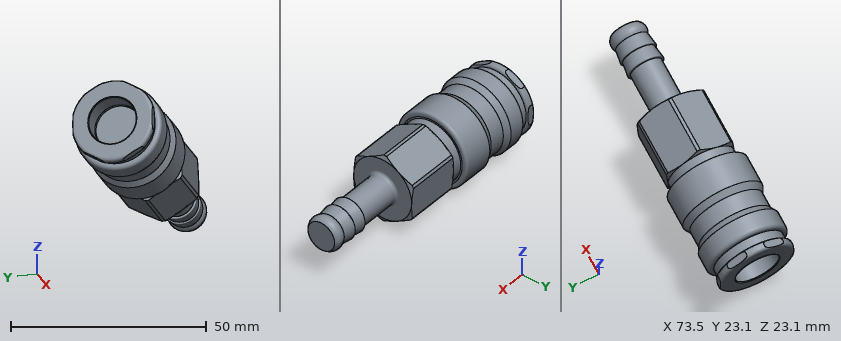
import cadquery as cq
import math

total_length = 73.5
core_diameter = 20.0

collar_length = 2.5
collar_diameter = 21.9
collar_fillet = 0.9
collar_across_flats = 21.0

sleeve_start = 5.1
sleeve_end = 28.5
sleeve_diameter = 23.15
waist_diameter = 21.0
front_band_end = 10.6
waist_start = 12.4
waist_end = 17.35
rear_band_start = 19.25
sleeve_front_fillet = 1.1
sleeve_rear_fillet = 0.8

neck_diameter = 18.95
hex_start = 31.45
hex_end = 48.5
hex_across_flats = 19.0
hex_corner_diameter = 21.45
hex_turn = -2.1
hex_chamfer_length = 0.5

tube_diameter = 9.1
tube_root_fillet = 0.9
barb_diameter = 10.45
barb_shoulder_fillet = 0.2
barb_root_diameter = 9.4
first_barb_start = 62.0
barb_pitch = 4.0
barb_count = 2
bulb_crest_position = 71.65
barb_tip_diameter = 8.75

bore_diameter = 12.6
bore_mouth_chamfer = 0.2
bore_depth = 6.0
floor_diameter = 12.1
floor_cone_length = 0.4


def revolve_about_x(profile):
    return profile.close().revolve(360, (0, 0, 0), (1, 0, 0))


def add_fillet(profile, start, end, corner):
    """Quarter arc from `start` to `end`, the tangent points either side of a square `corner`."""
    inset = 1 - math.sqrt(0.5)
    middle = tuple(c + inset * (s + e - 2 * c) for c, s, e in zip(corner, start, end))
    return profile.lineTo(*start).threePointArc(middle, end)


def round_bar(start, end, diameter):
    return cq.Workplane("YZ").workplane(offset=start).circle(diameter / 2).extrude(end - start)


def hexagonal_prism(start, end, across_flats, turn):
    """Hexagonal bar along X with flats facing +Y and -Y, turned about X by `turn` degrees."""
    corner_to_corner = across_flats / math.cos(math.radians(30))
    bar = cq.Workplane("YZ").workplane(offset=start).polygon(6, corner_to_corner).extrude(end - start)
    return bar.rotate((0, 0, 0), (1, 0, 0), 30 + turn)


def make_collar():
    rounded_disc = round_bar(0, collar_length, collar_diameter).edges().fillet(collar_fillet)
    return rounded_disc.intersect(hexagonal_prism(0, collar_length, collar_across_flats, 0))


def make_hexagon():
    face_radius = neck_diameter / 2
    corner_radius = hex_corner_diameter / 2
    envelope = revolve_about_x(
        cq.Workplane("XY")
        .moveTo(hex_start, 0)
        .lineTo(hex_start, face_radius)
        .lineTo(hex_start + hex_chamfer_length, corner_radius)
        .lineTo(hex_end - hex_chamfer_length, corner_radius)
        .lineTo(hex_end, face_radius)
        .lineTo(hex_end, 0)
    )
    return envelope.intersect(hexagonal_prism(hex_start, hex_end, hex_across_flats, hex_turn))


def make_core():
    """Plain round stem from the collar, under the sleeve, to the hexagon."""
    front = round_bar(collar_length, sleeve_end, core_diameter)
    neck = round_bar(sleeve_end, hex_start, neck_diameter)
    return front.union(neck)


def make_hose_barb():
    tube_radius = tube_diameter / 2
    root_radius = barb_root_diameter / 2
    crest_radius = barb_diameter / 2
    profile = add_fillet(
        cq.Workplane("XY").moveTo(hex_end, 0),
        start=(hex_end, tube_radius + tube_root_fillet),
        end=(hex_end + tube_root_fillet, tube_radius),
        corner=(hex_end, tube_radius),
    ).lineTo(first_barb_start, tube_radius)
    for i in range(barb_count):
        barb_start = first_barb_start + i * barb_pitch
        profile = add_fillet(
            profile,
            start=(barb_start, crest_radius - barb_shoulder_fillet),
            end=(barb_start + barb_shoulder_fillet, crest_radius),
            corner=(barb_start, crest_radius),
        ).lineTo(barb_start + barb_pitch, root_radius)
    profile = profile.threePointArc(
        (bulb_crest_position, crest_radius), (total_length, barb_tip_diameter / 2)
    ).lineTo(total_length, 0)
    return revolve_about_x(profile)


def make_socket_bore():
    bore_radius = bore_diameter / 2
    floor_radius = floor_diameter / 2
    floor_position = bore_depth + floor_cone_length
    return revolve_about_x(
        cq.Workplane("XY")
        .lineTo(0, bore_radius + bore_mouth_chamfer)
        .lineTo(bore_mouth_chamfer, bore_radius)
        .lineTo(bore_depth, bore_radius)
        .lineTo(floor_position, floor_radius)
        .lineTo(floor_position, 0)
    )


def make_body():
    body = make_core().union(make_collar()).union(make_hexagon()).union(make_hose_barb())
    return body.cut(make_socket_bore())


def make_sleeve():
    bore_radius = core_diameter / 2
    band_radius = sleeve_diameter / 2
    waist_radius = waist_diameter / 2
    profile = add_fillet(
        cq.Workplane("XY").moveTo(sleeve_start, bore_radius),
        start=(sleeve_start, band_radius - sleeve_front_fillet),
        end=(sleeve_start + sleeve_front_fillet, band_radius),
        corner=(sleeve_start, band_radius),
    )
    profile = (
        profile.lineTo(front_band_end, band_radius)
        .lineTo(waist_start, waist_radius)
        .lineTo(waist_end, waist_radius)
        .lineTo(rear_band_start, band_radius)
    )
    profile = add_fillet(
        profile,
        start=(sleeve_end - sleeve_rear_fillet, band_radius),
        end=(sleeve_end, band_radius - sleeve_rear_fillet),
        corner=(sleeve_end, band_radius),
    ).lineTo(sleeve_end, bore_radius)
    return revolve_about_x(profile)


body = make_body()
sleeve = make_sleeve()
result = cq.Compound.makeCompound([body.val(), sleeve.val()])